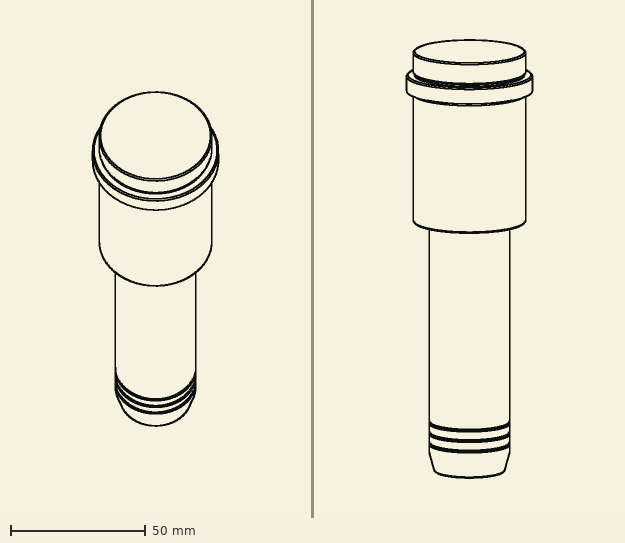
import cadquery as cq

total_length = 160.0

flange_diameter = 47.0
body_diameter = 42.0
shaft_diameter = 30.0
tip_diameter = 26.5

head_height = 9.0
flange_thickness = 6.0
body_length = 50.0
tip_length = 7.0

edge_chamfer = 0.56
tip_chamfer = 0.5
relief_width = 0.6
relief_depth = 0.5
shaft_relief_width = 1.0

groove_width = 1.0
groove_depth = 0.5
groove_pitch = 4.0
lowest_groove_height = 10.5
groove_count = 3

flange_radius = flange_diameter / 2
body_radius = body_diameter / 2
shaft_radius = shaft_diameter / 2
tip_radius = tip_diameter / 2
relief_radius = body_radius - relief_depth
flange_top = total_length - head_height
flange_bottom = flange_top - flange_thickness
body_bottom = flange_bottom - body_length


def draw_lead_in(outline):
    """Flat end with a broken edge, then the taper up to the shaft."""
    return (
        outline.lineTo(tip_radius - tip_chamfer, 0)
        .lineTo(tip_radius, tip_chamfer)
        .lineTo(shaft_radius, tip_length)
    )


def draw_shaft(outline):
    """Shaft with its ring grooves and the relief under the body."""
    for index in range(groove_count):
        center = lowest_groove_height + index * groove_pitch
        outline = outline.lineTo(shaft_radius, center - groove_width / 2)
        outline = outline.lineTo(shaft_radius - groove_depth, center)
        outline = outline.lineTo(shaft_radius, center + groove_width / 2)
    return (
        outline.lineTo(shaft_radius, body_bottom - shaft_relief_width)
        .lineTo(shaft_radius - relief_depth, body_bottom - shaft_relief_width)
        .lineTo(shaft_radius - relief_depth, body_bottom)
    )


def draw_chamfered_step(outline, bottom, top):
    """Length at the body diameter, chamfered at both ends."""
    return (
        outline.lineTo(body_radius - edge_chamfer, bottom)
        .lineTo(body_radius, bottom + edge_chamfer)
        .lineTo(body_radius, top - edge_chamfer)
        .lineTo(body_radius - edge_chamfer, top)
    )


def draw_flange(outline):
    """Flange with a broken upper edge, between the two relief necks."""
    return (
        outline.lineTo(relief_radius, flange_bottom)
        .lineTo(flange_radius, flange_bottom)
        .lineTo(flange_radius, flange_top - edge_chamfer)
        .lineTo(flange_radius - edge_chamfer, flange_top)
        .lineTo(relief_radius, flange_top)
    )


profile = cq.Workplane("XZ").moveTo(0, 0)
profile = draw_lead_in(profile)
profile = draw_shaft(profile)
profile = draw_chamfered_step(profile, body_bottom, flange_bottom - relief_width)
profile = draw_flange(profile)
profile = draw_chamfered_step(profile, flange_top + relief_width, total_length)
profile = profile.lineTo(0, total_length).close()

result = profile.revolve(360, (0, 0, 0), (0, 1, 0))